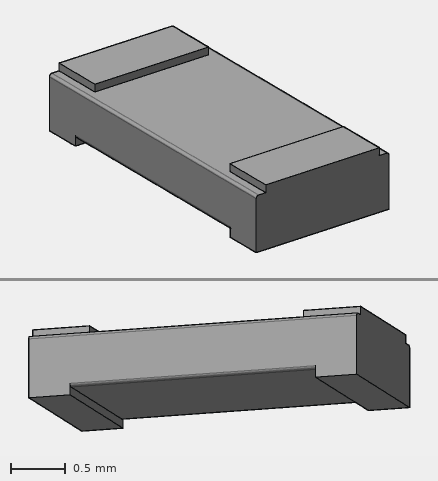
import cadquery as cq

length = 3.17
width = 1.52
height = 0.66

terminal_thickness = 0.08
top_terminal_length = 0.55
top_terminal_width = 1.3
bottom_terminal_length = 0.4

body_height = height - 2 * terminal_thickness
body_bottom = -body_height / 2
body_top = body_height / 2
edge_radius = 0.03


def end_block(side, block_length, block_width, block_height, base_z):
    """Block flush with the end face on the given X side (-1 or +1)."""
    center_x = side * (length - block_length) / 2
    return (
        cq.Workplane("XY")
        .box(block_length, block_width, block_height, centered=(True, True, False))
        .translate((center_x, 0, base_z))
    )


result = cq.Workplane("XY").box(length, width, body_height).edges("|X").fillet(edge_radius)

for side in (-1, 1):
    top_terminal = end_block(
        side, top_terminal_length, top_terminal_width, terminal_thickness, body_top
    )
    bottom_terminal = end_block(
        side,
        bottom_terminal_length,
        width,
        terminal_thickness + edge_radius,
        body_bottom - terminal_thickness,
    )
    result = result.union(top_terminal).union(bottom_terminal)